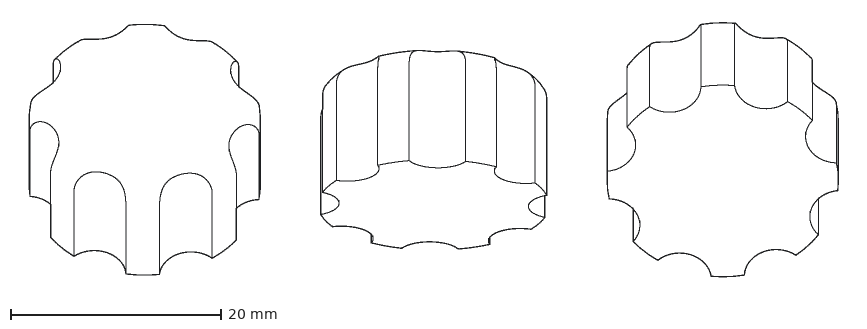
import cadquery as cq
import math

width = 21.33
height = 12.0
flute_count = 8
flute_radius = 3.0
flute_center_radius = 12.0
rim_fillet = 2.0

rim_radius = math.sqrt(
    flute_center_radius * width - flute_center_radius**2 + flute_radius**2
)


def make_body():
    """Round blank with a rounded top rim, standing on Z = 0."""
    blank = cq.Workplane("XY").circle(rim_radius).extrude(height)
    return blank.faces(">Z").edges().fillet(rim_fillet)


def make_flutes():
    """Full-height finger grips spaced evenly around the rim, the first on +X."""
    return (
        cq.Workplane("XY")
        .polarArray(flute_center_radius, 0, 360, flute_count)
        .circle(flute_radius)
        .extrude(height)
    )


result = make_body().cut(make_flutes())